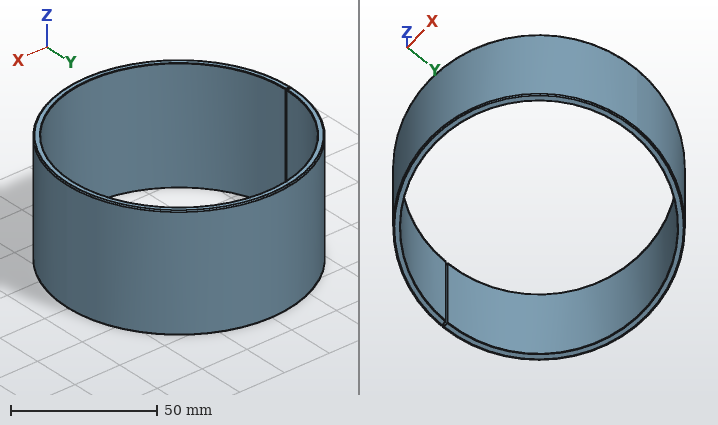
import cadquery as cq

outer_diameter = 100.0
wall_thickness = 2.5
height = 50.0
slit_width = 0.8
outer_chamfer = 0.5
inner_chamfer = 0.2

outer_radius = outer_diameter / 2
inner_radius = outer_radius - wall_thickness
half_height = height / 2


def chamfered_ring():
    """Revolve the wall section, with both edges broken at each end."""
    section = [
        (inner_radius, half_height - inner_chamfer),
        (inner_radius + inner_chamfer, half_height),
        (outer_radius - outer_chamfer, half_height),
        (outer_radius, half_height - outer_chamfer),
        (outer_radius, -half_height + outer_chamfer),
        (outer_radius - outer_chamfer, -half_height),
        (inner_radius + inner_chamfer, -half_height),
        (inner_radius, -half_height + inner_chamfer),
    ]
    return cq.Workplane("XZ").polyline(section).close().revolve(360, (0, 0, 0), (0, 1, 0))


def slit():
    """Full-height cutter through the wall on the -X side, with one face on the XZ plane."""
    cutter = cq.Workplane("XY").box(outer_radius, slit_width, height)
    return cutter.translate((-outer_radius, slit_width / 2, 0))


result = chamfered_ring().cut(slit())